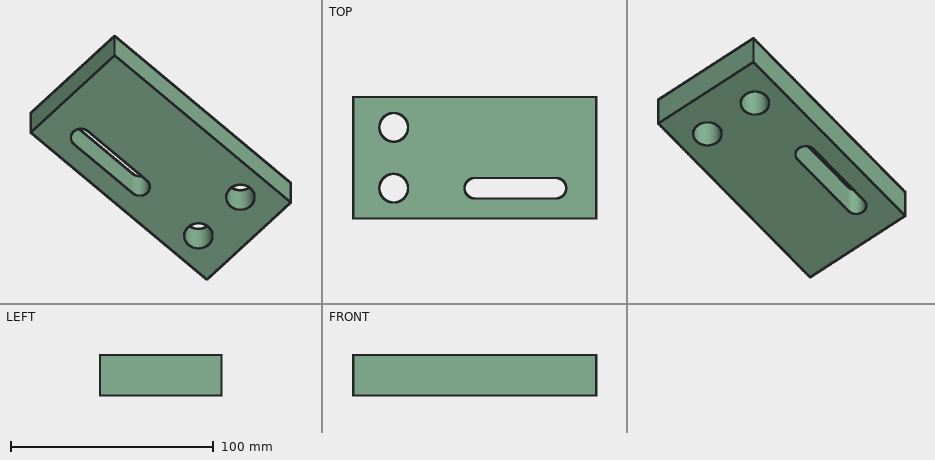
import cadquery as cq

length = 120.0
width = length / 2
thickness = 20.0

hole_diameter = 14.0
hole_end_distance = 20.0
row_offset = width / 4

slot_length = 50.0
slot_width = 10.0
slot_end_distance = 40.0

hole_x = hole_end_distance - length / 2
slot_x = length / 2 - slot_end_distance

plate = cq.Workplane("XY").box(length, width, thickness)

drilled_plate = (
    plate.faces(">Z")
    .workplane(origin=(0, 0, 0))
    .pushPoints([(hole_x, -row_offset), (hole_x, row_offset)])
    .hole(hole_diameter)
)

result = (
    drilled_plate.faces(">Z")
    .workplane(origin=(0, 0, 0))
    .center(slot_x, -row_offset)
    .slot2D(slot_length, slot_width)
    .cutThruAll()
)